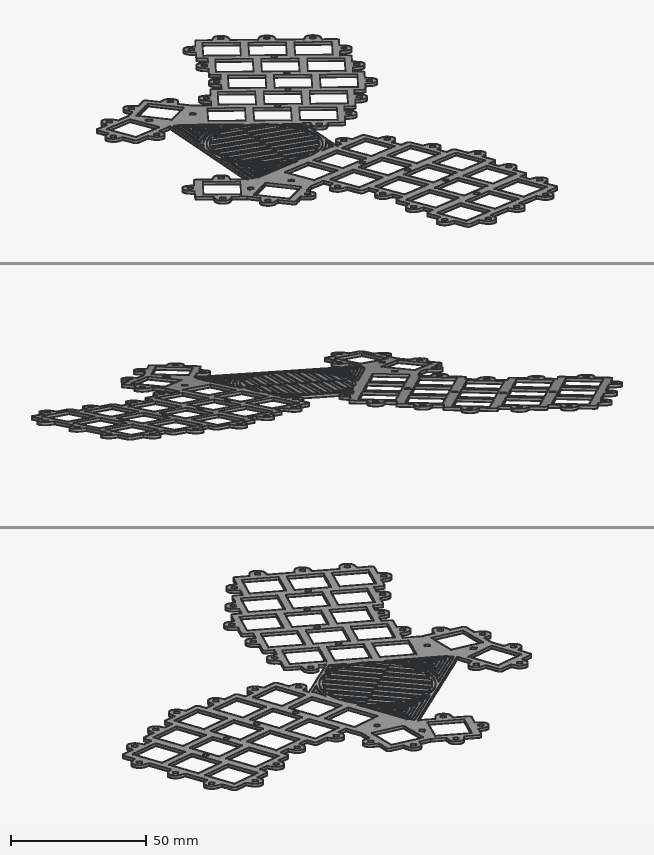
import cadquery as cq
import math

overall_width = 228
thickness = 1.2
groove_depth = 0.5
groove_floor = thickness - groove_depth

column_pitch = 18.0
row_pitch = column_pitch * 17 / 18
stagger = row_pitch / 4
key_hole = 14.0
key_margin = 1.1
half_width = column_pitch / 2 + key_margin
half_height = row_pitch / 2 + key_margin
finger_tilt = -25
home_key_y = 40.1
columns = (-2, -1, 0, 1, 2)
rows = (-1, 0, 1)

inner_thumb = (-48.8, -19.0)
inner_thumb_tilt = -45
outer_thumb = (-37.0, -36.0)
outer_thumb_tilt = -65

screw_hole = 2.2
ear_radius = 3.0
ear_reach = 2.7
ear_flare = 0.5
thumb_screws = [(-41.0, -9.3), (-42.0, -26.7)]

wall = 1.2
disc_radius = 43.0 / 2
bar_disc_radius = disc_radius - wall
panel_half_height = disc_radius + wall
corner_clip = 32.4
bar_width = 2 * wall
bar_lap = 0.11

LEFT, RIGHT, DOWN, UP = (-1, 0), (1, 0), (0, -1), (0, 1)


def along(origin, tilt, u, v):
    """Point at u along and v across a direction tilted by `tilt` degrees."""
    c = math.cos(math.radians(tilt))
    s = math.sin(math.radians(tilt))
    return (origin[0] + u * c - v * s, origin[1] + u * s + v * c)


def prism(points, bottom=0, height=thickness):
    return cq.Workplane("XY").workplane(offset=bottom).polyline(points).close().extrude(height)


def tilted_box(center, tilt, width, height, corner_radius=0):
    """Tilted rectangle through the sheet, with its corners rounded if a radius is given."""
    box = cq.Workplane("XY").rect(width, height).extrude(thickness)
    if corner_radius:
        box = box.edges("|Z").fillet(corner_radius)
    return box.rotate((0, 0, 0), (0, 0, 1), tilt).translate((center[0], center[1], 0))



outer_ear_offset = along(
    (0, 0),
    finger_tilt,
    columns[0] * column_pitch - column_pitch / 2 - ear_reach,
    rows[0] * row_pitch - stagger * abs(columns[0]),
)
home_key = (ear_radius - overall_width / 2 - outer_ear_offset[0], home_key_y)


def finger_key(column, row):
    drop = stagger * abs(column)
    return along(home_key, finger_tilt, column * column_pitch, row * row_pitch - drop)


def ear_center(key, tilt, side):
    """Ear centre on one side of a key."""
    u = side[0] * (column_pitch / 2 + ear_reach)
    v = side[1] * (row_pitch / 2 + ear_reach)
    return along(key, tilt, u, v)


def column_screw(column):
    """Screw midway between the middle keys of a column and the next one."""
    a = finger_key(column, 0)
    b = finger_key(column + 1, 0)
    return ((a[0] + b[0]) / 2, (a[1] + b[1]) / 2)


thumb_keys = [(inner_thumb, inner_thumb_tilt), (outer_thumb, outer_thumb_tilt)]
keys = [(finger_key(c, r), finger_tilt) for c in columns for r in rows] + thumb_keys

ears = [(finger_key(c, rows[-1]), finger_tilt, UP) for c in columns]
ears += [(finger_key(c, rows[0]), finger_tilt, DOWN) for c in columns[:-1]]
ears += [(finger_key(columns[0], r), finger_tilt, LEFT) for r in rows]
ears += [(finger_key(columns[-1], rows[-1]), finger_tilt, RIGHT)]
ears += [(inner_thumb, inner_thumb_tilt, side) for side in (LEFT, DOWN)]
ears += [(outer_thumb, outer_thumb_tilt, side) for side in (RIGHT, UP, DOWN)]

screws = [ear_center(*e) for e in ears] + [column_screw(c) for c in columns[:-1]] + thumb_screws




def ear(key, tilt, side):
    """Round ear on a slightly flared neck that meets the key frame."""
    center = ear_center(key, tilt, side)
    heading = tilt + math.degrees(math.atan2(side[1], side[0]))
    root = ear_reach - key_margin
    half_root = ear_radius + ear_flare
    corners = [(0, ear_radius), (-root, half_root), (-root, -half_root), (0, -ear_radius)]
    neck = prism([along(center, heading, u, v) for u, v in corners])
    return cq.Workplane("XY").center(*center).circle(ear_radius).extrude(thickness).union(neck)


def slant_x(distance, y):
    """X at height y of the panel's right slanted side, kept `distance` from the origin."""
    tilt = math.radians(finger_tilt)
    return (distance + y * math.sin(tilt)) / math.cos(tilt)


def trapezoid(half_height_y, slant_distance):
    """Corners of a symmetric trapezoid with the panel's slanted sides."""
    top_x = slant_x(slant_distance, half_height_y)
    bottom_x = slant_x(slant_distance, -half_height_y)
    return [
        (-bottom_x, -half_height_y),
        (bottom_x, -half_height_y),
        (top_x, half_height_y),
        (-top_x, half_height_y),
    ]


def thumb_web():
    """Flat web that joins the last finger column, the thumb keys and the panel."""
    low_key = finger_key(columns[-1], rows[0])
    return prism(
        [
            along(low_key, finger_tilt, half_width, 0),
            along(low_key, finger_tilt, -half_width, 0),
            along(low_key, finger_tilt, -half_width, -2 * half_height),
            inner_thumb,
            outer_thumb,
            along(outer_thumb, outer_thumb_tilt, -half_width, half_height),
            (-slant_x(disc_radius, -panel_half_height), -panel_half_height),
        ]
    )


def key_wing():
    """Left wing: key frames, web and ears, pierced by key and screw holes."""
    wing = thumb_web()
    column_length = 2 * (row_pitch + half_height)
    for c in columns:
        frame = tilted_box(finger_key(c, 0), finger_tilt, 2 * half_width, column_length, key_margin)
        wing = wing.union(frame)
    for center, tilt in thumb_keys:
        wing = wing.union(tilted_box(center, tilt, 2 * half_width, 2 * half_height, key_margin))
    for key, tilt, side in ears:
        wing = wing.union(ear(key, tilt, side))
    for center, tilt in keys:
        wing = wing.cut(tilted_box(center, tilt, key_hole, key_hole))
    holes = cq.Workplane("XY").pushPoints(screws).circle(screw_hole / 2).extrude(thickness)
    return wing.cut(holes)




def disc(radius):
    return cq.Workplane("XY").workplane(offset=groove_floor).circle(radius).extrude(groove_depth)


def bars(side, parity):
    """Every second bar in the upper (side 1) or lower (side -1) half of the disc."""
    count = math.ceil(bar_disc_radius / bar_width)
    places = [
        (i * bar_width, side * bar_disc_radius / 2)
        for i in range(-count, count + 1)
        if i % 2 == parity
    ]
    plane = cq.Workplane("XY").workplane(offset=groove_floor)
    strips = plane.pushPoints(places).rect(bar_width, bar_disc_radius + 2 * bar_lap)
    return strips.extrude(groove_depth).intersect(disc(bar_disc_radius))


def corner_region(inset):
    """Corners left between the panel's outline and its disc, drawn in by `inset`."""
    reach = disc_radius - inset
    region = prism(trapezoid(reach, reach), groove_floor, groove_depth)
    clip = cq.Workplane("XY").rect(2 * (corner_clip - inset), 2 * reach).extrude(thickness)
    return region.intersect(clip).cut(disc(disc_radius + wall + inset))



wing = key_wing()
panel = prism(trapezoid(panel_half_height, panel_half_height + wall))
sheet = panel.union(wing).union(wing.mirror("YZ")).clean()

sheet = sheet.cut(disc(disc_radius).cut(bars(1, 0)).cut(bars(-1, 1)))

for outer_inset in (0, 2 * wall):
    sheet = sheet.cut(corner_region(outer_inset).cut(corner_region(outer_inset + wall)))
innermost_inset = 4 * wall
sheet = sheet.cut(corner_region(innermost_inset))

result = sheet